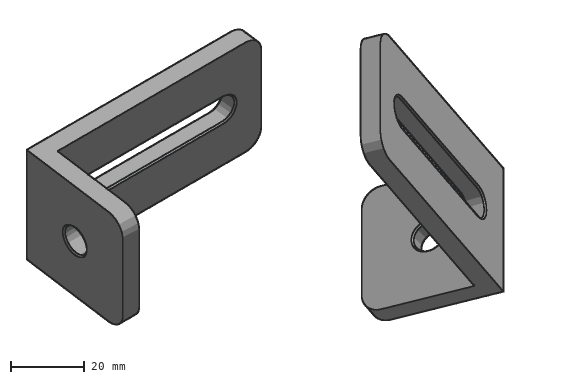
import cadquery as cq

long_leg = 80.0
short_leg = 40.0
height = 40.0
thickness = 6.0
corner_radius = 6.0

mouth_width = 10.0
mouth_length = 60.0
edge_chamfer = 0.5
opening_width = mouth_width - 2 * edge_chamfer
slot_length = mouth_length - 2 * edge_chamfer
slot_center_y = 41.0


def leg_plates():
    """Two plates meeting in a square corner, with rounded free ends."""
    long_plate = cq.Workplane("XY").box(thickness, long_leg, height, centered=False)
    long_plate = long_plate.edges("|X and >Y").fillet(corner_radius)
    short_plate = cq.Workplane("XY").box(short_leg, thickness, height, centered=False)
    short_plate = short_plate.edges("|Y and >X").fillet(corner_radius)
    return long_plate.union(short_plate)


def chamfered_cutter(outline, mouth_outline):
    """Cutter as deep as the plate, flared at 45 degrees at both plate faces."""
    flare = mouth_outline.extrude(edge_chamfer, taper=45)
    mid_plane = outline.plane.origin + outline.plane.zDir * (thickness / 2)
    far_flare = flare.mirror(outline.plane.zDir.toTuple(), mid_plane.toTuple())
    return outline.extrude(thickness).union(flare).union(far_flare)


def hole_cutter():
    """Round hole centred on the short leg."""
    plane = cq.Plane(
        origin=(short_leg / 2, 0, height / 2), xDir=(1, 0, 0), normal=(0, 1, 0)
    )
    outline = cq.Workplane(plane).circle(opening_width / 2)
    mouth_outline = cq.Workplane(plane).circle(mouth_width / 2)
    return chamfered_cutter(outline, mouth_outline)


def slot_cutter():
    """Slot running along the long leg."""
    plane = cq.Plane(
        origin=(0, slot_center_y, height / 2), xDir=(0, 1, 0), normal=(1, 0, 0)
    )
    outline = cq.Workplane(plane).slot2D(slot_length, opening_width)
    mouth_outline = cq.Workplane(plane).slot2D(mouth_length, mouth_width)
    return chamfered_cutter(outline, mouth_outline)


result = leg_plates().cut(hole_cutter()).cut(slot_cutter())